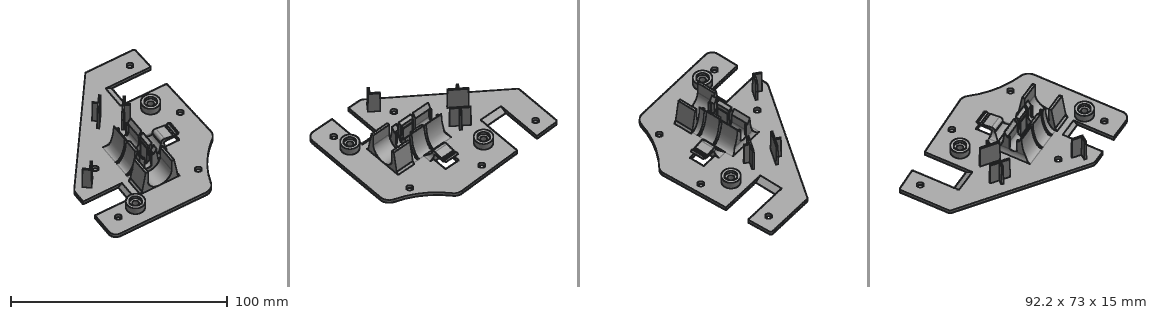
import cadquery as cq
import math

length = 92.2
plate_thickness = 2.0
total_height = 15.0
left_top_y = 70.6
left_bottom_y = 43.6
slant_end_x = 58.6
crest = (64.2, 73.1)
hollow = (73.0, 64.1)
shoulder = (length, 55.0)
crest_radius = 5.0
shoulder_radius = 5.5
bottom_radius = 4.0
left_radius = 1.0
slant_angle = -math.degrees(math.atan2(left_bottom_y, slant_end_x))

top_slot_x = (13.3, 25.9)
top_slot_floor = 46.3
top_slot_slope = 3.4
bottom_slot_x = (66.4, 76.55)
bottom_slot_floor = 21.2
bottom_slot_slope = 2.0
slot_overrun = 0.9

hole_diameter = 3.2
hole_places = [(7.3, 63.5), (44.2, 67.4), (78.2, 55.5), (52.2, 15.7), (83.2, 8.6)]
boss_places = [(34.2, 57.55), (82.2, 18.6)]
boss_diameter = 9.0
boss_top = 6.0
recess_diameter = 6.0
recess_depth = 1.5

post_top = 14.1
post_wall = 1.2
post_draft = 0.8
tee_bar = 10.1
tee_stem = 3.2
tee_places = [((35.0, 42.2), 1), ((28.1, 33.1), -1)]
ell_corner = (60.6, 7.75)
ell_bar = 5.9
ell_leg = 3.9

cradle_y = 35.3
cradle_start = 43.2
cradle_end = 67.0
end_flare = 1.4
flare_height = 4.9
flare_middle = (44.0, 3.1)
cradle_foot = 9.8
crest_half = 4.6
channel_half = 2.95
channel_axis = 7.5
lead_in_bottom = 12.4
lip_thickness = 0.9
lip_half = 2.0
gap_centers = (54.6, 63.55)
gap_bottom = 0.9
gap_top = 1.4

segment_start = gap_centers[0] + gap_bottom / 2
segment_end = gap_centers[1] - gap_bottom / 2
rib_half = 2.5
rib_chamfer = 1.2
rib_top = 11.6
nose_half = 2.8
nose_chamfer = 0.8
nose_slope = [(nose_half, 14.0), (4.4, 14.9)]
slit_inner = 1.2
slit_outer = 3.2

saddle_end = 76.9
saddle_radius = 6.5
saddle_wall_top = 7.75
saddle_wall_bottom = 9.8
saddle_foot = 10.8
saddle_foot_top = 3.3

tab_x = (50.4, 57.8)
tab_window_x = (50.0, 58.2)
tab_window_end = 58.0
tab_foot_x = (47.6, 60.3)
tab_foot_y = 45.2
tab_back_y = 49.8
tab_neck_y = 48.2
tab_neck_z = 4.7
tab_foot_top = tab_neck_z + 0.5
tab_side_bulge = 0.7
tab_side_middle_z = 3.1
tab_slope_middle = (47.2, 3.4)
tab_bend_middle = (48.6, 6.6)
tab_bend_top = (50.1, 7.1)
tab_arm_middle = (52.4, 6.7)
tab_arm_end = (54.8, 6.5)
tab_tooth = [(55.0, 6.2), (55.9, 6.3), (56.9, 6.9), (57.9, 6.5)]
tab_underside = [(55.9, 5.2), (50.9, 5.3)]


def side_profile(start, end):
    """Sketch across the part at x = start, with the distance to extrude it to x = end."""
    return cq.Workplane("YZ", origin=(start, 0, 0)), end - start


def mirrored(points):
    """Close a half outline, given as (half width, z), about the cradle centre line."""
    right = [(cradle_y + half, z) for half, z in points]
    left = [(cradle_y - half, z) for half, z in reversed(points)]
    return right + left


def box(x_range, y_range, z_range):
    size = [high - low for low, high in (x_range, y_range, z_range)]
    corner = (x_range[0], y_range[0], z_range[0])
    return cq.Workplane("XY").box(*size, centered=False).translate(corner)


def slot(x_range, floor, slope, opening):
    """Slot from `opening` to `floor`, its end face shifted by `slope` in Y at the underside."""
    plane, width = side_profile(*x_range)
    lower = floor + slope
    points = [(lower, 0), (floor, plate_thickness), (opening, plate_thickness), (opening, 0)]
    return plane.polyline(points).close().extrude(width)


def make_plate():
    plate = (
        cq.Workplane("XY")
        .moveTo(slant_end_x, 0)
        .lineTo(length, 0)
        .lineTo(*shoulder)
        .threePointArc(hollow, crest)
        .lineTo(0, left_top_y)
        .lineTo(0, left_bottom_y)
        .close()
        .extrude(plate_thickness)
    )
    corners = [
        ((slant_end_x, 0), bottom_radius),
        ((length, 0), bottom_radius),
        (shoulder, shoulder_radius),
        (crest, crest_radius),
        ((0, left_top_y), left_radius),
        ((0, left_bottom_y), left_radius),
    ]
    for (x, y), radius in corners:
        corner = cq.selectors.NearestToPointSelector((x, y, plate_thickness / 2))
        plate = plate.edges("|Z").edges(corner).fillet(radius)
    plate = plate.cut(slot(top_slot_x, top_slot_floor, top_slot_slope, crest[1] + slot_overrun))
    return plate.cut(slot(bottom_slot_x, bottom_slot_floor, -bottom_slot_slope, -slot_overrun))


def make_bosses():
    return cq.Workplane("XY").pushPoints(boss_places).circle(boss_diameter / 2).extrude(boss_top)


def make_holes():
    holes = cq.Workplane("XY").pushPoints(hole_places + boss_places)
    holes = holes.circle(hole_diameter / 2).extrude(boss_top)
    recesses = cq.Workplane("XY", origin=(0, 0, boss_top - recess_depth)).pushPoints(boss_places)
    return holes.union(recesses.circle(recess_diameter / 2).extrude(recess_depth))


def post(x_range, y_range, place):
    """Drafted upright wall, laid out along the slanted edge around `place`."""
    width = x_range[1] - x_range[0]
    depth = y_range[1] - y_range[0]
    wall = (
        cq.Workplane("XY")
        .center(sum(x_range) / 2, sum(y_range) / 2)
        .rect(width, depth)
        .extrude(post_top, taper=post_draft)
    )
    return wall.rotate((0, 0, 0), (0, 0, 1), slant_angle).translate((*place, 0))


def make_posts():
    half_wall = post_wall / 2
    across = (-half_wall, half_wall)
    posts = post((half_wall - ell_bar, half_wall), across, ell_corner)
    posts = posts.union(post(across, (-ell_leg, half_wall), ell_corner))
    for place, side in tee_places:
        stem = sorted((0, side * tee_stem))
        posts = posts.union(post((-tee_bar / 2, tee_bar / 2), across, place))
        posts = posts.union(post(across, stem, place))
    return posts


def cradle_body():
    """Block with sides flared as quarter ellipses, limited by the flare of its free end."""
    plane, run = side_profile(cradle_start, cradle_end)
    y_range = (cradle_y - cradle_foot, cradle_y + cradle_foot)
    sides = box((cradle_start, cradle_end), y_range, (0, total_height))
    flare_centers = [(y, total_height) for y in y_range]
    flares = plane.pushPoints(flare_centers)
    flares = flares.ellipse(cradle_foot - crest_half, total_height - plate_thickness).extrude(run)
    sides = sides.cut(flares)
    wall_x = cradle_start + end_flare
    end = (
        cq.Workplane("XZ", origin=(0, cradle_y + cradle_foot, 0))
        .moveTo(cradle_start, 0)
        .lineTo(cradle_start, plate_thickness)
        .threePointArc(flare_middle, (wall_x, flare_height))
        .lineTo(wall_x, total_height)
        .lineTo(cradle_end, total_height)
        .lineTo(cradle_end, 0)
        .close()
        .extrude(2 * cradle_foot)
    )
    return sides.intersect(end)


def channel(start, end):
    """Round-bottomed channel with a sloped lead-in at its mouth."""
    plane, run = side_profile(start, end)
    bottom = (cradle_y, channel_axis - channel_half)
    return (
        plane.moveTo(cradle_y - channel_half, channel_axis)
        .threePointArc(bottom, (cradle_y + channel_half, channel_axis))
        .lineTo(cradle_y + channel_half, lead_in_bottom)
        .lineTo(cradle_y + crest_half, total_height)
        .lineTo(cradle_y - crest_half, total_height)
        .lineTo(cradle_y - channel_half, lead_in_bottom)
        .close()
        .extrude(run)
    )


def end_lips(start, end):
    """Pair of lips that narrow the channel to hold the pin lengthways."""
    lip = box((start, end), (lip_half, crest_half), (0, lead_in_bottom))
    return lip.union(lip.mirror("XZ")).translate((0, cradle_y, 0))


def cradle_gap(x):
    """Tapered gap that separates two cradle segments down to the plate."""
    points = [
        (x - gap_bottom / 2, plate_thickness),
        (x + gap_bottom / 2, plate_thickness),
        (x + gap_top / 2, total_height),
        (x - gap_top / 2, total_height),
    ]
    gap = cq.Workplane("XZ", origin=(0, cradle_y + cradle_foot, 0)).polyline(points).close()
    return gap.extrude(2 * cradle_foot)


def chamfered_rib(half, chamfer, top):
    """Upright rib along one wall of the middle segment, chamfered at both ends."""
    plan = [
        (segment_start, crest_half),
        (segment_start, half + chamfer),
        (segment_start + chamfer, half),
        (segment_end - chamfer, half),
        (segment_end, half + chamfer),
        (segment_end, crest_half),
    ]
    return cq.Workplane("XY").polyline(plan).close().extrude(top)


def snap_ribs():
    """Ribs narrowing the middle segment, each topped by a sloped nose."""
    plane, run = side_profile(segment_start, segment_end)
    outline = [(nose_half, rib_top), *nose_slope, (crest_half, total_height), (crest_half, rib_top)]
    nose = plane.polyline(outline).close().extrude(run)
    nose = nose.intersect(chamfered_rib(nose_half, nose_chamfer, total_height))
    rib = chamfered_rib(rib_half, rib_chamfer, rib_top).union(nose)
    return rib.union(rib.mirror("XZ")).translate((0, cradle_y, 0))


def flex_slits():
    """Through openings between the channel floor and the walls of the middle segment."""
    x_range = (segment_start, segment_end)
    slit = box(x_range, (slit_inner, slit_outer), (0, channel_axis))
    return slit.union(slit.mirror("XZ")).translate((0, cradle_y, 0))


def make_saddle():
    plane, run = side_profile(cradle_end, saddle_end)
    half = [
        (saddle_foot, 0),
        (saddle_foot, plate_thickness),
        (saddle_wall_bottom, saddle_foot_top),
        (saddle_wall_top, total_height),
    ]
    return plane.polyline(mirrored(half)).close().extrude(run)


def saddle_trough():
    plane, run = side_profile(cradle_end, saddle_end)
    axis = plate_thickness + saddle_radius
    round_part = plane.center(cradle_y, axis).circle(saddle_radius).extrude(run)
    y_range = (cradle_y - saddle_radius, cradle_y + saddle_radius)
    return round_part.union(box((cradle_end, saddle_end), y_range, (axis, total_height)))


def make_cradle():
    cradle = cradle_body().cut(channel(cradle_start, cradle_end))
    wall_start = cradle_start + end_flare
    cradle = cradle.union(end_lips(wall_start, wall_start + lip_thickness))
    cradle = cradle.union(end_lips(cradle_end - lip_thickness, cradle_end))
    return cradle.union(make_saddle().cut(saddle_trough()))


def make_tab():
    """Spring tab: a flared foot carrying an arm with a toothed tip."""
    right_middle = (tab_x[1] + tab_side_bulge, tab_side_middle_z)
    left_middle = (tab_x[0] - tab_side_bulge, tab_side_middle_z)
    foot = (
        cq.Workplane("XZ", origin=(0, tab_back_y, 0))
        .moveTo(tab_foot_x[0], 0)
        .lineTo(tab_foot_x[1], 0)
        .lineTo(tab_foot_x[1], plate_thickness)
        .threePointArc(right_middle, (tab_x[1], tab_neck_z))
        .lineTo(tab_x[0], tab_neck_z)
        .threePointArc(left_middle, (tab_foot_x[0], plate_thickness))
        .close()
        .extrude(tab_back_y - tab_foot_y)
    )
    plane, run = side_profile(*tab_foot_x)
    slope = (
        plane.moveTo(tab_foot_y, 0)
        .lineTo(tab_foot_y, plate_thickness)
        .threePointArc(tab_slope_middle, (tab_neck_y, tab_foot_top))
        .lineTo(tab_back_y, tab_foot_top)
        .lineTo(tab_back_y, 0)
        .close()
        .extrude(run)
    )
    plane, run = side_profile(*tab_x)
    arm = (
        plane.moveTo(tab_back_y, tab_neck_z)
        .lineTo(tab_neck_y, tab_neck_z)
        .threePointArc(tab_bend_middle, tab_bend_top)
        .threePointArc(tab_arm_middle, tab_arm_end)
    )
    for point in tab_tooth + tab_underside:
        arm = arm.lineTo(*point)
    arm = arm.close().extrude(run)
    return foot.intersect(slope).union(arm)


tab_window = box(tab_window_x, (tab_back_y, tab_window_end), (0, plate_thickness))
result = make_plate().cut(tab_window).union(make_bosses()).union(make_posts()).union(make_cradle())
result = result.union(make_tab()).cut(make_holes()).cut(flex_slits()).union(snap_ribs())
for gap_center in gap_centers:
    result = result.cut(cradle_gap(gap_center))